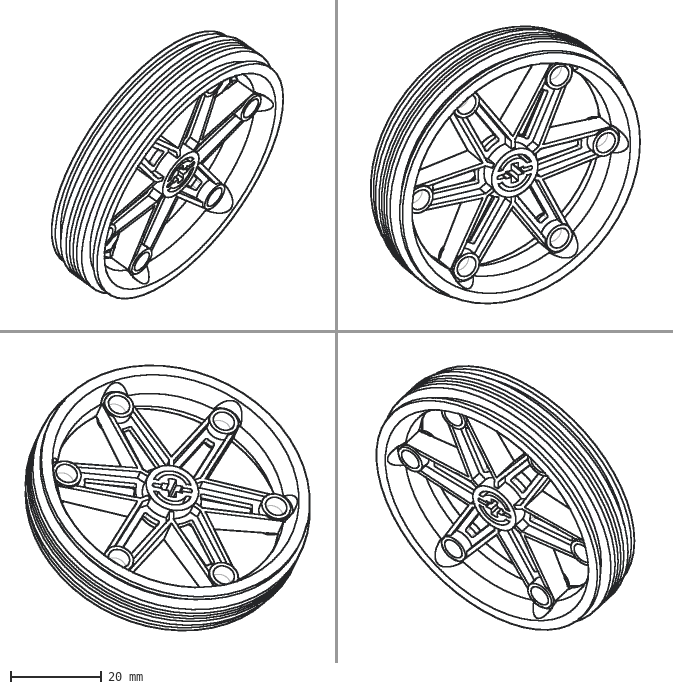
import cadquery as cq
import math


wheel_diameter = 63.5
rim_width = 13.5
flange_diameter = 61.5
flange_width = 1.15
groove_floor_diameter = 58.1
outer_rib_start = 1.6
outer_rib_end = 3.1
center_rib_width = 1.0
mouth_diameter = 56.5
throat_diameter = 52.2
throat_width = 5.0

spoke_count = 6
spoke_pitch = 360 / spoke_count
spoke_half_thickness_at_hub = 3.35
wall_width = 1.0
half_width_at_pin = 3.35
flank_slope = 0.07
floor_thickness = 1.5
floor_band = 1.5
window_half_width_at_pin = 0.8
window_corner_radius = 0.4

pin_circle_radius = 24.0
pin_hole_diameter = 4.8
boss_diameter = 6.6
boss_length = 6.5
clearance_diameter = 8.0

hub_diameter = 12.0
hub_length = 8.0
axle_diameter = 4.8
axle_arm_width = 1.7
key_slot_length = 9.0
key_slot_width = 0.95
arc_slot_outer_radius = 4.5
arc_slot_inner_radius = 3.55
arc_slot_gap = 3.25

half_rim = rim_width / 2
half_throat = throat_width / 2
throat_radius = throat_diameter / 2
hub_radius = hub_diameter / 2
rim_overlap = 0.3


def centered_plane():
    """Y-Z plane through the wheel centre, with its normal along the wheel axis."""
    return cq.Workplane("YZ")


def cylinder(diameter, length, distance=0.0):
    """Cylinder along X, centred on X = 0, at a distance along +Y."""
    return centered_plane().center(distance, 0).circle(diameter / 2).extrude(length / 2, both=True)


def around_wheel(shape):
    """The shape repeated once for every spoke."""
    copies = shape
    for index in range(1, spoke_count):
        copies = copies.union(shape.rotate((0, 0, 0), (1, 0, 0), index * spoke_pitch))
    return copies


def flank(radius, half_width):
    """Half width at a radius of an outline that narrows from hub to rim."""
    return half_width + flank_slope * (pin_circle_radius - radius)


def tapered_bar(start, end, half_width):
    """Outline along +Y whose half width is half_width at the pin hole."""
    start_half = flank(start, half_width)
    end_half = flank(end, half_width)
    return centered_plane().polyline(
        [(start, -start_half), (end, -end_half), (end, end_half), (start, start_half)]
    ).close()


def revolve_symmetric(half_profile):
    """Solid of revolution about X from the (X, radius) points of its X > 0 half."""
    mirrored = [(-x, radius) for x, radius in reversed(half_profile)]
    return cq.Workplane("XY").polyline(half_profile + mirrored).close().revolve(360, (0, 0, 0), (1, 0, 0))


def make_rim():
    rib_radius = wheel_diameter / 2
    groove_radius = groove_floor_diameter / 2
    flange_radius = flange_diameter / 2
    half_center_rib = center_rib_width / 2
    flange_start = half_rim - flange_width
    rim = revolve_symmetric([
        (half_center_rib, rib_radius),
        (half_center_rib, groove_radius),
        (outer_rib_start, groove_radius),
        (outer_rib_start, rib_radius),
        (outer_rib_end, rib_radius),
        (outer_rib_end, groove_radius),
        (flange_start, groove_radius),
        (flange_start, flange_radius),
        (half_rim, flange_radius),
        (half_rim, mouth_diameter / 2),
        (half_throat, throat_radius),
    ])
    clearance = cylinder(clearance_diameter, rim_width, pin_circle_radius)
    clearance = clearance.cut(cylinder(wheel_diameter, throat_width))
    return rim.cut(around_wheel(clearance))


def spoke_envelope():
    """Disc that thins from the hub to the throat of the rim."""
    return revolve_symmetric([
        (spoke_half_thickness_at_hub, 0),
        (spoke_half_thickness_at_hub, hub_radius),
        (half_throat, throat_radius),
        (half_throat, throat_radius + rim_overlap),
    ])


def make_pocket():
    """Recess of one spoke on both faces, leaving walls and a thin floor."""
    recess = tapered_bar(0, pin_circle_radius, half_width_at_pin - wall_width).extrude(half_rim, both=True)
    half_angle = math.radians(spoke_pitch / 2)
    apex = wall_width / 2 / math.sin(half_angle)
    reach = pin_circle_radius
    spread = (reach - apex) * math.tan(half_angle)
    sector = (
        centered_plane()
        .polyline([(apex, 0), (reach, -spread), (reach, spread)])
        .close()
        .extrude(half_rim, both=True)
    )
    return recess.intersect(sector).cut(cylinder(wheel_diameter, floor_thickness))


def make_window():
    """Opening through the floor, concentric with the hub and the pin boss at its ends."""
    window = tapered_bar(0, pin_circle_radius, window_half_width_at_pin).extrude(half_rim, both=True)
    window = window.cut(cylinder(hub_diameter + 2 * floor_band, rim_width))
    window = window.cut(cylinder(boss_diameter + 2 * floor_band, rim_width, pin_circle_radius))
    return window.edges("|X").fillet(window_corner_radius)


def make_spokes():
    bar = tapered_bar(0, throat_radius + rim_overlap, half_width_at_pin).extrude(half_rim, both=True)
    spokes = around_wheel(bar).intersect(spoke_envelope())
    return spokes.cut(around_wheel(make_pocket())).cut(around_wheel(make_window()))


def make_axle_opening():
    """Cross axle hole with a thin slot across it and two arc slots around it."""
    arm = centered_plane().rect(axle_diameter, axle_arm_width).extrude(half_rim, both=True)
    cross = arm.union(arm.rotate((0, 0, 0), (1, 0, 0), 90))
    cross = cross.intersect(cylinder(axle_diameter, rim_width))
    key_slot = centered_plane().slot2D(key_slot_length, key_slot_width).extrude(half_rim, both=True)
    arcs = cylinder(2 * arc_slot_outer_radius, rim_width).cut(cylinder(2 * arc_slot_inner_radius, rim_width))
    arcs = arcs.cut(cq.Workplane("XY").box(rim_width, hub_diameter, arc_slot_gap))
    return cross.union(key_slot).union(arcs)


bosses = around_wheel(cylinder(boss_diameter, boss_length, pin_circle_radius))
pin_holes = around_wheel(cylinder(pin_hole_diameter, rim_width, pin_circle_radius))

result = (
    make_rim()
    .union(make_spokes())
    .union(bosses)
    .union(cylinder(hub_diameter, hub_length))
    .cut(pin_holes)
    .cut(make_axle_opening())
)